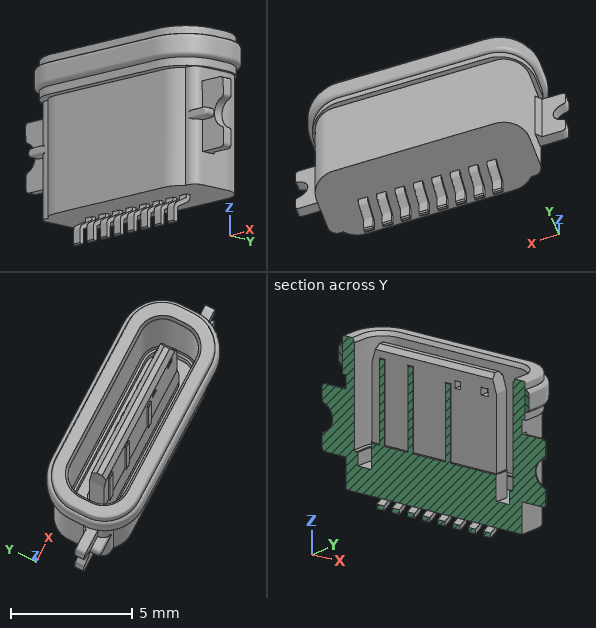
import cadquery as cq

shell_height = 5.0
shell_half_width = 4.65
shell_rear_y = 1.73
shell_rear_radius = 1.13
shell_front_y = -1.58
shell_front_half_width = 3.23
shoulder_y = -1.19
shoulder_outer_x = 4.25
shoulder_inner_x = 4.11
shoulder_radius = shell_half_width - shoulder_outer_x

seal_length = 10.05
seal_width = 4.26
seal_corner_radius = 1.79
seal_thickness = 0.2
seal_bottom_z = 5.36
seal_height = 0.99
seal_edge_radius = 0.19
rim_top_z = 6.71
rim_edge_radius = 0.12

mouth_length = 8.54
mouth_width = 2.75
mouth_corner_radius = 1.11
lead_in_inset = 0.11
lead_in_depth = 0.2
mouth_clearance = 0.12
seat_chamfer = 0.07
ledge_width = 0.11
ledge_z = 1.77
floor_z = 1.18

tongue_top_z = 6.65
tongue_thickness = 0.67
tongue_top_thickness = 0.25
tongue_top_length = 6.07
tongue_length = 6.55
tongue_end_taper_height = 0.83
tongue_bevel_height = 0.21
root_length = 6.73
root_width = 1.17
root_corner_radius = 0.47
root_top_z = 2.36
root_taper_height = 0.53

contact_pitch = 0.5
contact_width = 0.3
contact_proud = 0.06
contact_tip_bevel = 0.05
long_contact_top_z = 6.11
short_contact_top_z = 5.78
front_long_contacts = (-5.5, -2.5)
front_short_contacts = (1.5,)
rear_contacts = (-1.5, -0.5, 0.5, 2.5, 5.5)

inner_window_x = 1.24
inner_window_width = 0.28
outer_window_x = 2.67
outer_window_width = 0.37
window_top_z = 5.96
window_height = 0.33
window_depth = 0.41

ear_half_span = 5.9
ear_rear_y = -0.32
ear_front_y = -0.74
ear_top_front_y = -0.78
ear_draft_start_z = 3.4
ear_bottom_z = 1.42
ear_top_z = 4.4
ear_corner_radius = 0.18
notch_radius = 0.65
notch_centre_x = 6.01
gusset_size = 0.22

rib_half_span = 5.33
rib_height = 0.4
rib_centre_z = 2.96
rib_edge_radius = 0.1

pin_count = 8
pin_pitch = 0.8
pin_width = 0.4
pin_thickness = 0.2
pin_offset_y = -0.7
pin_upper_bend_z = -0.2
pin_lower_bend_z = -0.55
pin_bottom_z = -1.27
pin_bend_radius = 0.17
pin_tip_chamfer = 0.06
pin_embedment = 0.24


def rounded_block(length, width, radius, bottom_z, top_z):
    """Upright block with rounded corners, centred on the Z axis."""
    block = cq.Workplane("XY").box(length, width, top_z - bottom_z, centered=(True, True, False))
    return block.edges("|Z").fillet(radius).translate((0, 0, bottom_z))


def both_sides(right_part):
    """A part on the +X side together with its mirror image on the -X side."""
    return right_part.union(right_part.mirror("YZ"))


def make_shell():
    """Shell with large rear corners and stepped front corners."""
    corner_drop = shoulder_y - shell_front_y
    corner_run = shoulder_inner_x - shell_front_half_width
    front_radius = (corner_run**2 + corner_drop**2) / (2 * corner_drop)
    half = (
        cq.Workplane("XY")
        .moveTo(0, shell_front_y)
        .lineTo(shell_front_half_width, shell_front_y)
        .radiusArc((shoulder_inner_x, shoulder_y), -front_radius)
        .lineTo(shoulder_outer_x, shoulder_y)
        .radiusArc((shell_half_width, shoulder_y + shoulder_radius), -shoulder_radius)
        .lineTo(shell_half_width, shell_rear_y - shell_rear_radius)
        .radiusArc((shell_half_width - shell_rear_radius, shell_rear_y), -shell_rear_radius)
        .lineTo(0, shell_rear_y)
        .close()
        .extrude(shell_height)
    )
    return both_sides(half)


def rim_section(bottom_z, top_z):
    """Stretch of the rim outline, which is also the bore of the seal."""
    return rounded_block(
        seal_length - 2 * seal_thickness,
        seal_width - 2 * seal_thickness,
        seal_corner_radius - seal_thickness,
        bottom_z,
        top_z,
    )


def make_rim():
    """Flange around the mouth, with a rounded top edge."""
    rim = rim_section(shell_height, rim_top_z)
    return rim.faces(">Z").edges().fillet(rim_edge_radius)


def cavity_section(inset, bottom_z, top_z):
    """Straight stretch of the cavity, set in from the outline of the mouth."""
    return rounded_block(
        mouth_length - 2 * inset, mouth_width - 2 * inset, mouth_corner_radius - inset, bottom_z, top_z
    )


def make_cavity():
    """Cavity with a lead-in at the mouth, a bevelled ledge near the bottom and a smaller well below it."""
    seat_inset = lead_in_inset + seat_chamfer
    barrel = cavity_section(lead_in_inset, ledge_z, rim_top_z)
    barrel = barrel.faces("<Z").edges().chamfer(seat_chamfer)
    well = cavity_section(seat_inset + ledge_width, floor_z, rim_top_z)
    lead_in = cavity_section(0, rim_top_z - lead_in_depth, rim_top_z + mouth_clearance)
    lead_in = lead_in.faces("<Z").edges().chamfer(lead_in_depth, lead_in_inset)
    return barrel.union(well).union(lead_in)


def make_tongue():
    """Tongue with a bevelled top, tapered ends and a flared root."""
    bevel_z = tongue_top_z - tongue_bevel_height
    taper_z = tongue_top_z - tongue_end_taper_height
    across = (
        cq.Workplane("YZ")
        .moveTo(-tongue_thickness / 2, floor_z)
        .lineTo(-tongue_thickness / 2, bevel_z)
        .lineTo(-tongue_top_thickness / 2, tongue_top_z)
        .lineTo(tongue_top_thickness / 2, tongue_top_z)
        .lineTo(tongue_thickness / 2, bevel_z)
        .lineTo(tongue_thickness / 2, floor_z)
        .close()
        .extrude(tongue_length / 2, both=True)
    )
    along = (
        cq.Workplane("XZ")
        .moveTo(-tongue_length / 2, floor_z)
        .lineTo(-tongue_length / 2, taper_z)
        .lineTo(-tongue_top_length / 2, tongue_top_z)
        .lineTo(tongue_top_length / 2, tongue_top_z)
        .lineTo(tongue_length / 2, taper_z)
        .lineTo(tongue_length / 2, floor_z)
        .close()
        .extrude(tongue_thickness, both=True)
    )
    root_taper = (
        cq.Workplane("YZ")
        .moveTo(-root_width / 2, floor_z)
        .lineTo(-root_width / 2, root_top_z - root_taper_height)
        .lineTo(-tongue_thickness / 2, root_top_z)
        .lineTo(tongue_thickness / 2, root_top_z)
        .lineTo(root_width / 2, root_top_z - root_taper_height)
        .lineTo(root_width / 2, floor_z)
        .close()
        .extrude(root_length, both=True)
    )
    root = rounded_block(root_length, root_width, root_corner_radius, floor_z, root_top_z)
    return across.intersect(along).union(root.intersect(root_taper))


def make_contact(step, side, top_z):
    """Bevel-tipped strip lying proud of one face of the tongue; side is +1 for +Y and -1 for -Y."""
    face_y = side * tongue_thickness / 2
    proud_y = face_y + side * contact_proud
    strip = (
        cq.Workplane("YZ")
        .moveTo(0, floor_z)
        .lineTo(proud_y, floor_z)
        .lineTo(proud_y, top_z - contact_tip_bevel)
        .lineTo(face_y, top_z)
        .lineTo(0, top_z)
        .close()
        .extrude(contact_width / 2, both=True)
    )
    return strip.translate((step * contact_pitch, 0, 0))


def make_window(x, width):
    """Blind window in the front face of the tongue."""
    window = cq.Workplane("XY").box(width, window_depth, window_height, centered=(True, False, False))
    return window.translate((x, -tongue_thickness / 2, window_top_z - window_height))


def make_ear():
    """Notched mounting ear on the +X side, braced against the shell by a gusset."""
    notch_z = (ear_bottom_z + ear_top_z) / 2
    ear_height = ear_top_z - ear_bottom_z
    root_x = shell_half_width - gusset_size
    plate = (
        cq.Workplane("YZ", origin=(root_x, 0, 0))
        .moveTo(ear_rear_y, ear_bottom_z)
        .lineTo(ear_front_y, ear_bottom_z)
        .lineTo(ear_front_y, ear_draft_start_z)
        .lineTo(ear_top_front_y, ear_top_z)
        .lineTo(ear_rear_y, ear_top_z)
        .close()
        .extrude(ear_half_span - root_x)
    )
    notch = (
        cq.Workplane("XZ", origin=(notch_centre_x, 0, notch_z))
        .circle(notch_radius)
        .extrude(-2 * ear_front_y, both=True)
    )
    ear = plate.cut(notch).faces(">X").edges("|Y").fillet(ear_corner_radius)
    gusset = (
        cq.Workplane("XY", origin=(0, 0, ear_bottom_z))
        .moveTo(root_x, ear_rear_y)
        .lineTo(shell_half_width + gusset_size, ear_rear_y)
        .lineTo(shell_half_width, ear_rear_y + gusset_size)
        .lineTo(root_x, ear_rear_y + gusset_size)
        .close()
        .extrude(ear_height)
    )
    return ear.union(gusset)


def make_rib():
    """Round-ended locating rib on the +X side, between the ear and the shoulder of the shell."""
    round_centre_x = rib_half_span - rib_height / 2
    lower_z = rib_centre_z - rib_height / 2
    upper_z = rib_centre_z + rib_height / 2
    rib = (
        cq.Workplane("XZ", origin=(0, ear_rear_y, 0))
        .moveTo(shoulder_outer_x, lower_z)
        .lineTo(round_centre_x, lower_z)
        .threePointArc((rib_half_span, rib_centre_z), (round_centre_x, upper_z))
        .lineTo(shoulder_outer_x, upper_z)
        .close()
        .extrude(ear_rear_y - shoulder_y)
    )
    return rib.faces("<Y").edges("not(<X)").fillet(rib_edge_radius)


def make_pin(x):
    """Solder pin with a double bend, rooted in the floor of the shell."""
    bends = [(0, pin_upper_bend_z), (pin_offset_y, pin_lower_bend_z)]
    points = [(0, pin_embedment), *bends, (pin_offset_y, pin_bottom_z)]
    path = cq.Wire.makePolygon([cq.Vector(x, y, z) for y, z in points])
    path = path.fillet2D(pin_bend_radius, path.Vertices()[1:3])
    pin = (
        cq.Workplane("XY", origin=(x, 0, pin_embedment))
        .rect(pin_width, pin_thickness)
        .sweep(cq.Workplane(path))
    )
    return pin.faces("<Z").edges("|X").chamfer(pin_tip_chamfer)


def make_housing():
    """Connector housing with its tongue, contacts, ears, ribs and solder pins as one solid."""
    housing = make_shell().union(make_rim()).cut(make_cavity())
    tongue = make_tongue()
    for step in front_long_contacts:
        tongue = tongue.union(make_contact(step, -1, long_contact_top_z))
    for step in front_short_contacts:
        tongue = tongue.union(make_contact(step, -1, short_contact_top_z))
    for step in rear_contacts:
        tongue = tongue.union(make_contact(step, 1, long_contact_top_z))
    tongue = tongue.cut(make_window(inner_window_x, inner_window_width))
    tongue = tongue.cut(make_window(outer_window_x, outer_window_width))
    housing = housing.union(tongue).union(both_sides(make_ear())).union(both_sides(make_rib()))
    for index in range(pin_count):
        housing = housing.union(make_pin((index - (pin_count - 1) / 2) * pin_pitch))
    return housing


def make_seal():
    """Seal ring with rounded outer edges, fitted around the rim."""
    seal_top_z = seal_bottom_z + seal_height
    band = rounded_block(seal_length, seal_width, seal_corner_radius, seal_bottom_z, seal_top_z)
    band = band.faces("<Z or >Z").edges().fillet(seal_edge_radius)
    return band.cut(rim_section(seal_bottom_z, seal_top_z))


housing = make_housing()
seal = make_seal()
result = cq.Compound.makeCompound([housing.solids().val(), seal.solids().val()])